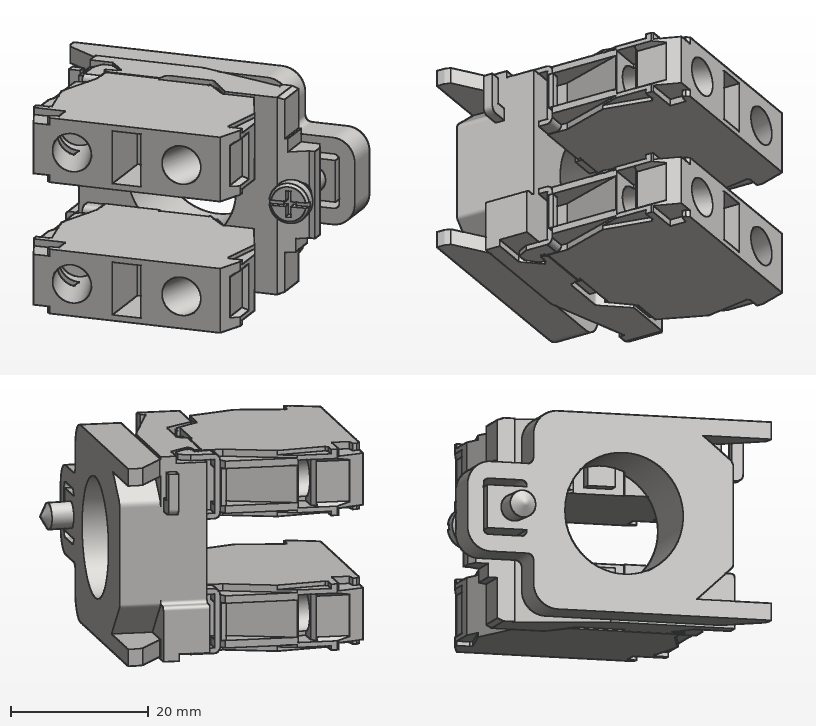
import cadquery as cq
import math

LENGTH = 46.0
TOTAL_DEPTH = 41.3
TOTAL_HEIGHT = 30.0
HALF_HEIGHT = TOTAL_HEIGHT / 2

BORE_X = 22.3
BORE_RADIUS = 8.95
BASE_LEFT = 5.75
BASE_FRONT = 23.65
FLANGE_FRONT = 30.55
FLANGE_BACK = 36.6
FLANGE_HALF_HEIGHT = 14.65
FLANGE_RIGHT = 36.0
FLANGE_CORNER_RADIUS = 3.65
WING_HEIGHT = 2.55
WING_TIP_Y = 35.3
WING_BEVEL_END = (0.28, 34.4)
WING_SLOPE_END_X = 5.9
LEFT_CUT_TOP = 8.35
LEFT_CUT_TOP_DEPTH = 4.6
LEFT_CUT_TOP_FILLET = 1.43
LEFT_CUT_BOTTOM = -7.05
LEFT_CUT_BOTTOM_DEPTH = 5.5
LEFT_CUT_BOTTOM_FILLET = 0.85
LOOP_HALF_HEIGHT = 6.62
LOOP_CORNER_RADIUS = 3.45
LOOP_NECK_RADIUS = 0.95
LOOP_WALL = 2.4
LOOP_SLOT_LEFT = 37.05
LOOP_SLOT_HALF_HEIGHT = 4.15
LOOP_SLOT_RADIUS = 0.87
NUT_HALF_HEIGHT = 3.17
NUT_RIGHT = 43.0
COLLAR_RADIUS = 11.45
COLLAR_BLOCK_RIGHT = 30.45
COLLAR_BLOCK_HALF_HEIGHT = 11.5
COLLAR_BLOCK_CHAMFER = 0.87

ARM_FRONT = 20.75
ARM_BACK = 26.95
ARM_SLOPE_START = 22.55
ARM_BEND_X = 37.67
ARM_SHOULDER_X = 38.65
ARM_SHOULDER_CORNER = 0.35
ARM_RIGHT = 42.65
ARM_BEVEL_END_X = 41.7
ARM_TIP_FRONT = 23.2
ARM_TIP_BACK = 25.3
ARM_BACK_CORNER_X = 41.9
ARM_STEP_X = 36.0
ARM_STEP_Y = 26.15
TOP_STEP_X = 39.05
BOTTOM_STEP_X = 40.0
STEP_HEIGHT = 2.02
WINDOW_LEFT = 18.35
WINDOW_RIGHT = 26.15
WINDOW_BACK = 25.15
RAMP_END_X = 29.6
RAMP_SLOPE = (WINDOW_RIGHT - RAMP_END_X) / (WINDOW_BACK - ARM_FRONT)
RAMP_START_X = RAMP_END_X + RAMP_SLOPE * (BASE_FRONT - ARM_FRONT)
WINDOW_RADIUS = 0.55
WINDOW_LEAN = 0.55

FOOT_LEFT = 3.73
FOOT_TOP = -6.9
FOOT_RADIUS = 0.55
L_TAB_LEFT = 2.3
L_TAB_TOP = 13.05
L_TAB_BOTTOM = 6.9
L_TAB_BAR = 1.75
L_TAB_FRONT = 28.6
L_TAB_BACK = 30.1
L_TAB_RADIUS = 0.9
L_TAB_LEG = 2.0

SCREW_TILT = 5.0
SCREW_TIP_X = 38.55
SCREW_LENGTH = 23.75
SHANK_RADIUS = 2.0
TIP_HEIGHT = 1.25
HEAD_RADIUS = 3.05
HEAD_HEIGHT = 2.7
HEAD_CHAMFER = 0.4
DRIVE_WIDTH = 0.8
DRIVE_DEPTH = 0.87
CROSS_DEPTH = 1.35
CROSS_LENGTH = 3.95
CROSS_WIDTH = 1.9

BLOCK_WIDTH = 9.8
BLOCK_HALF = BLOCK_WIDTH / 2
BLOCK_OFFSET = 10.0
BLOCK_LEFT = 6.2
BLOCK_RIGHT = 38.25
BLOCK_MIDDLE = (BLOCK_LEFT + BLOCK_RIGHT) / 2
NOSE_INSET = 1.5
NOSE_DEPTH = 4.2
WAIST_Y = 10.1
SHOULDER_X = 34.1
NECK_LEFT = 9.8
NECK_Y = 20.42
NOTCH_Y = 23.2
LEDGE_WIDTH = 0.8
LEDGE_RIGHT = 34.5
LEDGE_BEND = (29.15, 20.3)
LEDGE_DEPTH = 0.45

WIRE_HOLE_RADIUS = 2.9
WIRE_HOLE_SPACING = 17.0
WIRE_HOLE_TILT = 16.0
WIRE_HOLE_DEPTH = 12.9
SLOT_WIDTH = 4.4
SLOT_HEIGHT = 8.0
SLOT_DEPTH = 10.1

SIDE_POCKET_HALF = 3.55
SIDE_POCKET_FRONT = 1.7
SIDE_POCKET_BACK = 7.77
SIDE_POCKET_DEPTH = 0.87
SIDE_POCKET_INSET = 0.5
SIDE_WINDOW_BACK = 10.0
SIDE_WINDOW_RIGHT = 11.05
SIDE_SILL_FRONT = 7.1
SIDE_SILL_RIGHT = 7.9
WEDGE_DEPTH = 0.65
WEDGE_FRONT = 5.1
WEDGE_BACK = 12.9
WEDGE_RIGHT = 8.55
WEDGE_TOP_X = 7.18
WEDGE_BEVEL = 0.35
CORNER_POCKET_DEPTH = 1.05
CORNER_POCKET_BACK = 3.9
CORNER_POCKET_RIGHT = 11.22
CORNER_LIP_X = 9.8
CORNER_LIP_BEVEL = 0.5
CORNER_LIP_BACK = 1.05
CORNER_LIP_ROOT = 1.35

RIB_INNER = 2.75
RIB_OUTER = 3.85
RIB_TOP = 20.8
BAR_RIGHT = 7.35
BAR_FRONT = 20.7
CLIP_LEFT = 7.15
CLIP_FRONT = 21.4
CLIP_OPENING = 22.2
CLIP_RADIUS = 0.9
CLIP_INSET = 0.1
CLIP_HALF = BLOCK_HALF - CLIP_INSET
HOOK_THICKNESS = 0.85
HOOK_TOP = 27.45
HOOK_TOP_LEFT = 8.05
HOOK_TOP_RIGHT = 9.5
HOOK_SHOULDER_Y = 25.75
HOOK_TIP_X = 11.25
HOOK_CATCH = [(NECK_LEFT, 24.0), (9.5, 24.1), (9.5, 24.65), (11.22, 24.85)]
HOOK_POCKET_DEPTH = 1.05
HOOK_POCKET_TIP = (11.7, 25.3)
HOOK_POCKET_BEND_X = 9.25
HOOK_POCKET_BACK = 28.2
PLUNGER_WIDTH = 4.15


def prism_z(points, z_low, z_high):
    """Extrude an XY outline between two heights."""
    return cq.Workplane("XY", origin=(0, 0, z_low)).polyline(points).close().extrude(z_high - z_low)


def prism_y(points, y_low, y_high):
    """Extrude an XZ outline between two depths."""
    return cq.Workplane("XZ", origin=(0, y_high, 0)).polyline(points).close().extrude(y_high - y_low)


def box(x_range, y_range, z_range):
    """Box given by its low and high X, Y and Z."""
    spans = [high - low for low, high in (x_range, y_range, z_range)]
    corner = (x_range[0], y_range[0], z_range[0])
    return cq.Workplane("XY").box(*spans, centered=False).translate(corner)


def flange():
    """Back plate with an undercut left edge and a pointed wing above and below it."""
    plate = box((BASE_LEFT, FLANGE_RIGHT), (FLANGE_FRONT, FLANGE_BACK),
                (-FLANGE_HALF_HEIGHT, FLANGE_HALF_HEIGHT))
    plate = plate.edges("|Y and >X").fillet(FLANGE_CORNER_RADIUS)
    wing_inner = FLANGE_HALF_HEIGHT - WING_HEIGHT
    left_cuts = (
        (LEFT_CUT_TOP, wing_inner, LEFT_CUT_TOP_DEPTH, LEFT_CUT_TOP_FILLET),
        (LEFT_CUT_BOTTOM, -wing_inner, LEFT_CUT_BOTTOM_DEPTH, LEFT_CUT_BOTTOM_FILLET),
    )
    for start, end, depth, radius in left_cuts:
        cut = prism_y([(BASE_LEFT, start), (BASE_LEFT + depth, end), (BASE_LEFT, end)],
                      FLANGE_FRONT, FLANGE_BACK)
        corner = cq.selectors.NearestToPointSelector((BASE_LEFT, (FLANGE_FRONT + FLANGE_BACK) / 2, start))
        plate = plate.cut(cut).edges(corner).fillet(radius)
    wing_root = BASE_LEFT + max(LEFT_CUT_TOP_DEPTH, LEFT_CUT_BOTTOM_DEPTH)
    wing_outline = [(0, FLANGE_BACK), (0, WING_TIP_Y), WING_BEVEL_END,
                    (WING_SLOPE_END_X, FLANGE_FRONT), (wing_root, FLANGE_FRONT), (wing_root, FLANGE_BACK)]
    plate = plate.union(prism_z(wing_outline, wing_inner, FLANGE_HALF_HEIGHT))
    return plate.union(prism_z(wing_outline, -FLANGE_HALF_HEIGHT, -wing_inner))


def screw_loop():
    """Rounded loop on the right of the flange, with the threaded block that holds the screw."""
    neck = FLANGE_RIGHT + LOOP_NECK_RADIUS
    inside = FLANGE_RIGHT - LOOP_NECK_RADIUS
    outer = LOOP_HALF_HEIGHT
    loop = box((inside, LENGTH), (FLANGE_FRONT, FLANGE_BACK), (-outer, outer))
    loop = loop.edges("|Y and >X").fillet(LOOP_CORNER_RADIUS)
    for side in (1, -1):
        blend = box((FLANGE_RIGHT, neck), (FLANGE_FRONT, FLANGE_BACK),
                    sorted((side * outer, side * (outer + LOOP_NECK_RADIUS))))
        round_cut = (cq.Workplane("XZ", origin=(neck, FLANGE_BACK, side * (outer + LOOP_NECK_RADIUS)))
                     .circle(LOOP_NECK_RADIUS).extrude(FLANGE_BACK - FLANGE_FRONT))
        loop = loop.union(blend.cut(round_cut))
    slot = box((LOOP_SLOT_LEFT, LENGTH - LOOP_WALL), (FLANGE_FRONT, FLANGE_BACK),
               (-LOOP_SLOT_HALF_HEIGHT, LOOP_SLOT_HALF_HEIGHT)).edges("|Y").fillet(LOOP_SLOT_RADIUS)
    nut = box((inside, NUT_RIGHT), (FLANGE_FRONT, FLANGE_BACK), (-NUT_HALF_HEIGHT, NUT_HALF_HEIGHT))
    return loop.cut(slot).union(nut)


def arm():
    """Side profile of the body behind the blocks, trimmed to the stepped outline of its right end."""
    profile = [
        (BASE_LEFT, BASE_FRONT), (WINDOW_LEFT, BASE_FRONT), (WINDOW_LEFT + WINDOW_LEAN, WINDOW_BACK),
        (WINDOW_RIGHT, WINDOW_BACK), (RAMP_END_X, ARM_FRONT), (ARM_BEND_X, ARM_FRONT),
        (ARM_BEVEL_END_X, ARM_TIP_FRONT), (ARM_RIGHT, ARM_TIP_FRONT), (ARM_RIGHT, ARM_TIP_BACK),
        (ARM_BACK_CORNER_X, ARM_BACK), (ARM_STEP_X, ARM_BACK), (ARM_STEP_X, ARM_STEP_Y),
        (ARM_SLOPE_START, FLANGE_FRONT), (BASE_LEFT, FLANGE_FRONT),
    ]
    body = prism_z(profile, -HALF_HEIGHT, HALF_HEIGHT)
    for x in (WINDOW_LEFT + WINDOW_LEAN, WINDOW_RIGHT):
        corner = cq.selectors.NearestToPointSelector((x, WINDOW_BACK, 0))
        body = body.edges(corner).fillet(WINDOW_RADIUS)
    corner_z = HALF_HEIGHT - ARM_SHOULDER_CORNER
    end_outline = [
        (BASE_LEFT, -HALF_HEIGHT), (ARM_BEND_X, -HALF_HEIGHT), (ARM_SHOULDER_X, -corner_z),
        (ARM_SHOULDER_X, -LOOP_HALF_HEIGHT - STEP_HEIGHT), (BOTTOM_STEP_X, -LOOP_HALF_HEIGHT - STEP_HEIGHT),
        (BOTTOM_STEP_X, -LOOP_HALF_HEIGHT), (ARM_RIGHT, -LOOP_HALF_HEIGHT), (ARM_RIGHT, LOOP_HALF_HEIGHT),
        (TOP_STEP_X, LOOP_HALF_HEIGHT), (TOP_STEP_X, LOOP_HALF_HEIGHT + STEP_HEIGHT),
        (ARM_SHOULDER_X, LOOP_HALF_HEIGHT + STEP_HEIGHT), (ARM_SHOULDER_X, corner_z),
        (ARM_BEND_X, HALF_HEIGHT), (BASE_LEFT, HALF_HEIGHT),
    ]
    return body.intersect(prism_y(end_outline, ARM_FRONT, FLANGE_FRONT))


def foot():
    """Lower left block, blended into the base above it."""
    block = box((FOOT_LEFT, BASE_LEFT), (BASE_FRONT, FLANGE_FRONT), (-HALF_HEIGHT, FOOT_TOP))
    block = block.edges("|Y and <X and >Z").fillet(FOOT_RADIUS)
    corner = box((BASE_LEFT - FOOT_RADIUS, BASE_LEFT), (BASE_FRONT, FLANGE_FRONT),
                 (FOOT_TOP, FOOT_TOP + FOOT_RADIUS))
    round_cut = (cq.Workplane("XZ", origin=(BASE_LEFT - FOOT_RADIUS, FLANGE_FRONT, FOOT_TOP + FOOT_RADIUS))
                 .circle(FOOT_RADIUS).extrude(FLANGE_FRONT - BASE_FRONT))
    return block.union(corner.cut(round_cut))


def l_tab():
    """Upturned L-shaped tab on the left side."""
    y_range = (L_TAB_FRONT, L_TAB_BACK)
    bar = box((L_TAB_LEFT, L_TAB_LEFT + L_TAB_BAR), y_range, (L_TAB_BOTTOM, L_TAB_TOP))
    leg = box((L_TAB_LEFT, BASE_LEFT), y_range, (L_TAB_BOTTOM, L_TAB_BOTTOM + L_TAB_LEG))
    return bar.union(leg).edges("|Y and <X and <Z").fillet(L_TAB_RADIUS)


def hook_pocket():
    """Recess in the top face that takes the hook of a block."""
    outline = [(FOOT_LEFT, BASE_FRONT), (NECK_LEFT, BASE_FRONT), *HOOK_CATCH, HOOK_POCKET_TIP,
               (HOOK_POCKET_BEND_X, HOOK_POCKET_BACK), (FOOT_LEFT, HOOK_POCKET_BACK)]
    return prism_z(outline, HALF_HEIGHT - HOOK_POCKET_DEPTH, HALF_HEIGHT)


def clamping_screw():
    """Tilted screw, fixed in the base as part of the same solid."""
    half_profile = [
        (0, 0), (HEAD_RADIUS - HEAD_CHAMFER, 0), (HEAD_RADIUS, HEAD_CHAMFER),
        (HEAD_RADIUS, HEAD_HEIGHT - HEAD_CHAMFER), (HEAD_RADIUS - HEAD_CHAMFER, HEAD_HEIGHT),
        (SHANK_RADIUS, HEAD_HEIGHT), (SHANK_RADIUS, SCREW_LENGTH - TIP_HEIGHT), (0, SCREW_LENGTH),
    ]
    body = cq.Workplane("XY").polyline(half_profile).close().revolve(360, (0, 0, 0), (0, 1, 0))
    half_drive = DRIVE_WIDTH / 2
    drive = (-half_drive, half_drive)
    body = body.cut(box((-HEAD_RADIUS, HEAD_RADIUS), (0, DRIVE_DEPTH), drive))
    body = body.cut(box(drive, (0, CROSS_DEPTH), (-CROSS_LENGTH / 2, CROSS_LENGTH / 2)))
    body = body.cut(box((-CROSS_WIDTH / 2, CROSS_WIDTH / 2), (0, CROSS_DEPTH), drive))
    tilt = math.radians(SCREW_TILT)
    start = (SCREW_TIP_X + SCREW_LENGTH * math.sin(tilt), TOTAL_DEPTH - SCREW_LENGTH * math.cos(tilt), 0)
    return body.rotate((0, 0, 0), (0, 0, 1), SCREW_TILT).translate(start)


def mounting_base():
    collar = (cq.Workplane("XZ", origin=(BORE_X, FLANGE_FRONT, 0))
              .circle(COLLAR_RADIUS).extrude(FLANGE_FRONT - WINDOW_BACK))
    collar_block = box((BORE_X, COLLAR_BLOCK_RIGHT), (WINDOW_BACK, FLANGE_FRONT),
                       (-COLLAR_BLOCK_HALF_HEIGHT, COLLAR_BLOCK_HALF_HEIGHT))
    collar = collar.union(collar_block.edges("|Y and >X").chamfer(COLLAR_BLOCK_CHAMFER))
    body = flange().union(screw_loop()).union(arm()).union(foot()).union(collar)
    bore = (cq.Workplane("XZ", origin=(BORE_X, FLANGE_BACK, 0))
            .circle(BORE_RADIUS).extrude(FLANGE_BACK - ARM_FRONT))
    body = body.cut(bore).union(l_tab()).union(clamping_screw())
    pocket = hook_pocket()
    return body.cut(pocket).cut(pocket.mirror("XY"))


def on_both_faces(cut):
    return cut.union(cut.mirror("XY"))


def on_both_ends(cut):
    return cut.union(cut.mirror("YZ", (BLOCK_MIDDLE, 0, 0)))


def block_core():
    outline = [
        (BLOCK_LEFT + NOSE_INSET, 0), (BLOCK_RIGHT - NOSE_INSET, 0), (BLOCK_RIGHT, NOSE_DEPTH),
        (BLOCK_RIGHT, WAIST_Y), (SHOULDER_X, ARM_FRONT), (RAMP_END_X, ARM_FRONT), (RAMP_START_X, BASE_FRONT),
        (WINDOW_RIGHT, BASE_FRONT), (WINDOW_RIGHT, NOTCH_Y), (WINDOW_LEFT, NOTCH_Y),
        (WINDOW_LEFT, BASE_FRONT), (NECK_LEFT, BASE_FRONT), (NECK_LEFT, NECK_Y),
        (BLOCK_LEFT, WAIST_Y), (BLOCK_LEFT, NOSE_DEPTH),
    ]
    return prism_z(outline, -BLOCK_HALF, BLOCK_HALF)


def face_ledge():
    """Shallow step along the edge that meets the arm."""
    outline = [(LEDGE_RIGHT, ARM_FRONT), (RAMP_END_X, ARM_FRONT), (RAMP_START_X, BASE_FRONT),
               (WINDOW_RIGHT, BASE_FRONT), LEDGE_BEND, (RAMP_END_X, ARM_FRONT - LEDGE_WIDTH),
               (LEDGE_RIGHT, ARM_FRONT - LEDGE_WIDTH)]
    return prism_z(outline, BLOCK_HALF - LEDGE_DEPTH, BLOCK_HALF)


def face_wedge():
    """Shallow three-sided recess beside each slanted end."""
    outline = [(BLOCK_LEFT, WEDGE_FRONT), (WEDGE_RIGHT - WEDGE_BEVEL, WEDGE_FRONT),
               (WEDGE_RIGHT, WEDGE_FRONT + WEDGE_BEVEL), (WEDGE_TOP_X, WEDGE_BACK), (BLOCK_LEFT, WEDGE_BACK)]
    return prism_z(outline, BLOCK_HALF - WEDGE_DEPTH, BLOCK_HALF)


def corner_pocket():
    outline = [(BLOCK_LEFT, CORNER_POCKET_BACK), (CORNER_POCKET_RIGHT, CORNER_POCKET_BACK),
               (CORNER_POCKET_RIGHT, CORNER_LIP_ROOT), (CORNER_LIP_X, CORNER_LIP_BACK),
               (CORNER_LIP_X, CORNER_LIP_BEVEL), (CORNER_LIP_X + CORNER_LIP_BEVEL, 0), (BLOCK_LEFT, 0)]
    return prism_z(outline, BLOCK_HALF - CORNER_POCKET_DEPTH, BLOCK_HALF)


def wire_hole():
    """Blind hole that leans outwards as it goes in."""
    hole = (cq.Workplane("XZ", origin=(0, WIRE_HOLE_DEPTH, 0)).circle(WIRE_HOLE_RADIUS)
            .extrude(WIRE_HOLE_DEPTH + WIRE_HOLE_RADIUS))
    hole = hole.rotate((0, 0, 0), (0, 0, 1), WIRE_HOLE_TILT)
    return hole.translate((BLOCK_MIDDLE - WIRE_HOLE_SPACING / 2, 0, 0))


def side_pocket():
    """Drafted recess in the end face."""
    length = SIDE_POCKET_BACK - SIDE_POCKET_FRONT
    middle = (SIDE_POCKET_BACK + SIDE_POCKET_FRONT) / 2
    return (cq.Workplane("YZ", origin=(BLOCK_LEFT, middle, 0))
            .rect(length, 2 * SIDE_POCKET_HALF).workplane(offset=SIDE_POCKET_DEPTH)
            .rect(length - 2 * SIDE_POCKET_INSET, 2 * (SIDE_POCKET_HALF - SIDE_POCKET_INSET))
            .loft(ruled=True))


def side_window():
    """Opening from the left end into the wire hole, with a sloping sill towards the side pocket."""
    floor = BLOCK_LEFT + SIDE_POCKET_DEPTH
    outline = [(BLOCK_LEFT, SIDE_SILL_FRONT), (floor, SIDE_SILL_FRONT), (SIDE_SILL_RIGHT, SIDE_POCKET_BACK),
               (SIDE_WINDOW_RIGHT, SIDE_POCKET_BACK), (SIDE_WINDOW_RIGHT, SIDE_WINDOW_BACK),
               (BLOCK_LEFT, SIDE_WINDOW_BACK)]
    return prism_z(outline, -SIDE_POCKET_HALF, SIDE_POCKET_HALF)


def ribs():
    """Two upright ribs on the left slope, tied together by a bar."""
    outline = [(BLOCK_LEFT, WAIST_Y), (BLOCK_LEFT, RIB_TOP), (CLIP_LEFT, CLIP_FRONT),
               (NECK_LEFT, CLIP_FRONT), (NECK_LEFT, NECK_Y)]
    rib = prism_z(outline, RIB_INNER, RIB_OUTER)
    bar = box((BLOCK_LEFT, BAR_RIGHT), (BAR_FRONT, CLIP_FRONT), (-RIB_INNER, RIB_INNER))
    return on_both_faces(rib).union(bar)


def clip():
    """U-shaped strap across the neck, with a hook on its upper leg."""
    strap = box((CLIP_LEFT, NECK_LEFT), (CLIP_FRONT, BASE_FRONT), (-CLIP_HALF, CLIP_HALF))
    strap = strap.edges("|X and <Y").fillet(CLIP_RADIUS)
    leg_inner = CLIP_HALF - HOOK_THICKNESS
    strap = strap.cut(box((CLIP_LEFT, NECK_LEFT), (CLIP_OPENING, BASE_FRONT), (-leg_inner, leg_inner)))
    strap = strap.cut(box((BAR_RIGHT, NECK_LEFT), (CLIP_FRONT, CLIP_OPENING), (-RIB_INNER, RIB_INNER)))
    hook = prism_z([(CLIP_LEFT, CLIP_OPENING), (NECK_LEFT, CLIP_OPENING), *HOOK_CATCH,
                    (HOOK_TIP_X, HOOK_SHOULDER_Y), (HOOK_TOP_RIGHT, HOOK_TOP), (HOOK_TOP_LEFT, HOOK_TOP),
                    (CLIP_LEFT, HOOK_SHOULDER_Y)], leg_inner, CLIP_HALF)
    return strap.union(hook)


def contact_block():
    half_slot = SLOT_WIDTH / 2
    slot = box((BLOCK_MIDDLE - half_slot, BLOCK_MIDDLE + half_slot), (0, SLOT_DEPTH),
               (-SLOT_HEIGHT / 2, SLOT_HEIGHT / 2))
    body = block_core().cut(on_both_faces(face_ledge())).cut(on_both_faces(on_both_ends(face_wedge())))
    body = body.cut(on_both_faces(corner_pocket())).cut(slot).cut(side_window())
    body = body.cut(on_both_ends(wire_hole())).cut(on_both_ends(side_pocket()))
    plunger = box((BORE_X - PLUNGER_WIDTH / 2, BORE_X + PLUNGER_WIDTH / 2), (NOTCH_Y, WINDOW_BACK),
                  (-SLOT_HEIGHT / 2, SLOT_HEIGHT / 2))
    return body.union(ribs()).union(clip()).union(plunger)


base = mounting_base()
upper_block = contact_block().translate((0, 0, BLOCK_OFFSET))
blocks = [upper_block, upper_block.mirror("XY")]
result = cq.Compound.makeCompound([base.solids().val(), *[block.solids().val() for block in blocks]])